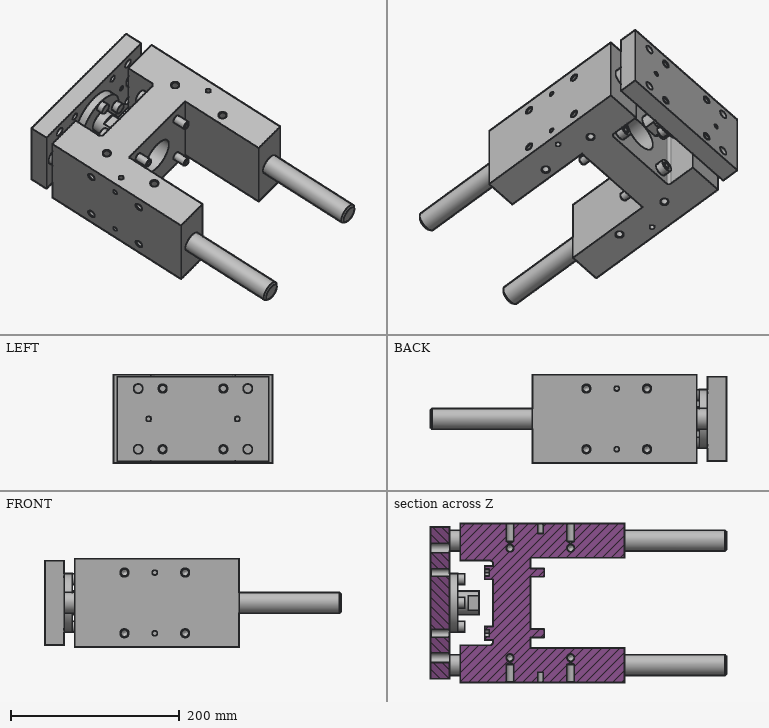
import cadquery as cq
import math


TOTAL_LENGTH = 351.0
ROD_DIAMETER = 25.0
ROD_Y = 73.7
BOLT_PITCH = 72.0
HALF_PITCH = BOLT_PITCH / 2
MOUNT_Y = 65.0

THREAD_DIAMETER = 10.2
CORE_DIAMETER = 8.5
DOWEL_DIAMETER = 6.0
DRILL_TIP_ANGLE = 118.0

HOUSING_FRONT = 35.0
HOUSING_LENGTH = 195.0
HOUSING_WIDTH = 189.0
HOUSING_HEIGHT = 105.0
WEB_FRONT = 74.0
WEB_BACK = 118.5
FRONT_GAP_WIDTH = 100.0
BACK_GAP_WIDTH = 106.7
FRONT_GAP_FILLET = 3.5
WEB_BORE_DIAMETER = 45.0
HOUSING_BACK = HOUSING_FRONT + HOUSING_LENGTH

MOUNT_CENTER_X = 130.2
MOUNT_DEPTH = 21.0
DOWEL_DEPTH = 12.0
DOWEL_Y = 83.0

WEB_SCREW_DIAMETER = 10.2
WEB_SCREW_END = 135.0
WEB_SCREW_CHAMFER = 1.0
WEB_HEAD_DIAMETER = 16.0
WEB_HEAD_HEIGHT = 10.0
WEB_SOCKET_FLATS = 8.0
WEB_SOCKET_DEPTH = 5.3
CORNER_UP = 90.0

PLATE_THICKNESS = 22.8
PLATE_WIDTH = 180.0
PLATE_HEIGHT = 100.0
PLATE_DOWEL_Y = 52.5
PLATE_BOLT_DIAMETER = 11.0
ROD_END_CHAMFER = 2.0

FLANGE_DIAMETER = 70.0
FLANGE_THICKNESS = 10.0
FLANGE_BACK = PLATE_THICKNESS + FLANGE_THICKNESS
FLANGE_HEAD_DIAMETER = 13.0
FLANGE_HEAD_HEIGHT = 8.0
FLANGE_BOLT_RADIUS = 28.0
STUD_DIAMETER = 28.5
STUD_END = 57.5
STUD_FLATS = 22.8
STUD_FLAT_LENGTH = 12.5


def x_cylinder(diameter, x_start, x_end, y=0, z=0):
    """Cylinder parallel to X."""
    plane = cq.Workplane("YZ", origin=(x_start, y, z))
    return plane.circle(diameter / 2).extrude(x_end - x_start)


def x_block(x_start, x_end, width, height):
    """Box centred on the X axis."""
    return cq.Workplane("YZ", origin=(x_start, 0, 0)).rect(width, height).extrude(x_end - x_start)


def drill(diameter, depth, point, direction):
    """Blind drill cutter with a conical tip."""
    radius = diameter / 2
    tip_length = radius / math.tan(math.radians(DRILL_TIP_ANGLE / 2))
    inward = cq.Vector(*direction)
    start = cq.Vector(*point)
    shank = cq.Solid.makeCylinder(radius, depth, start, inward)
    tip = cq.Solid.makeCone(radius, 0, tip_length, start + inward * depth, inward)
    return cq.Workplane(shank.fuse(tip))


def threaded_hole(depth, point, direction):
    """Drilled core with a 45 degree countersink as wide as the thread."""
    countersink_depth = (THREAD_DIAMETER - CORE_DIAMETER) / 2
    mouth = cq.Solid.makeCone(
        THREAD_DIAMETER / 2, CORE_DIAMETER / 2, countersink_depth, cq.Vector(*point), cq.Vector(*direction)
    )
    return drill(CORE_DIAMETER, depth, point, direction).union(cq.Workplane(mouth))


def dowel_hole(point, direction):
    """Flat-bottomed blind hole."""
    return cq.Workplane(
        cq.Solid.makeCylinder(DOWEL_DIAMETER / 2, DOWEL_DEPTH, cq.Vector(*point), cq.Vector(*direction))
    )


def housing_block():
    """H-shaped block: two legs joined by a web."""
    block = x_block(HOUSING_FRONT, HOUSING_BACK, HOUSING_WIDTH, HOUSING_HEIGHT)
    front_gap = x_block(HOUSING_FRONT, WEB_FRONT, FRONT_GAP_WIDTH, HOUSING_HEIGHT)
    front_gap = front_gap.edges("|Z and >X").fillet(FRONT_GAP_FILLET)
    back_gap = x_block(WEB_BACK, HOUSING_BACK, BACK_GAP_WIDTH, HOUSING_HEIGHT)
    return block.cut(front_gap).cut(back_gap)


def cut_mounting_holes(block):
    """Threaded and dowel holes in the top, bottom and both outer sides."""
    for side in (-1, 1):
        z_face = side * HOUSING_HEIGHT / 2
        y_face = side * HOUSING_WIDTH / 2
        into_z = (0, 0, -side)
        into_y = (0, -side, 0)
        for other in (-1, 1):
            for x in (MOUNT_CENTER_X - HALF_PITCH, MOUNT_CENTER_X + HALF_PITCH):
                block = block.cut(threaded_hole(MOUNT_DEPTH, (x, other * MOUNT_Y, z_face), into_z))
                block = block.cut(threaded_hole(MOUNT_DEPTH, (x, y_face, other * HALF_PITCH), into_y))
            block = block.cut(dowel_hole((MOUNT_CENTER_X, other * DOWEL_Y, z_face), into_z))
            block = block.cut(dowel_hole((MOUNT_CENTER_X, y_face, other * HALF_PITCH), into_y))
    return block


def web_screw(y, z):
    """Screw through the web, with the hexagon socket in its head turned corner-up."""
    head_front = WEB_FRONT - WEB_HEAD_HEIGHT
    shank = x_cylinder(WEB_SCREW_DIAMETER, WEB_FRONT, WEB_SCREW_END, y, z)
    shank = shank.faces(">X").chamfer(WEB_SCREW_CHAMFER)
    head = x_cylinder(WEB_HEAD_DIAMETER, head_front, WEB_FRONT, y, z)
    socket_corners = WEB_SOCKET_FLATS / math.cos(math.pi / 6)
    socket_plane = cq.Workplane("YZ", origin=(head_front, y, z)).transformed(rotate=(0, 0, CORNER_UP))
    socket = socket_plane.polygon(6, socket_corners).extrude(WEB_SOCKET_DEPTH)
    return shank.union(head).cut(socket)


def make_housing():
    """H-shaped block with rod bores, mounting holes and the web screws."""
    housing = cut_mounting_holes(housing_block())
    housing = housing.cut(x_cylinder(WEB_BORE_DIAMETER, WEB_FRONT, WEB_BACK))
    for y in (-ROD_Y, ROD_Y):
        housing = housing.cut(x_cylinder(ROD_DIAMETER, HOUSING_FRONT, HOUSING_BACK, y))
    for y in (-HALF_PITCH, HALF_PITCH):
        for z in (-HALF_PITCH, HALF_PITCH):
            housing = housing.union(web_screw(y, z))
    return housing


def front_plate():
    """Plate with dowel, bolt and threaded holes through its thickness."""
    plate = x_block(0, PLATE_THICKNESS, PLATE_WIDTH, PLATE_HEIGHT)
    for side in (-1, 1):
        plate = plate.cut(x_cylinder(DOWEL_DIAMETER, 0, PLATE_THICKNESS, side * PLATE_DOWEL_Y))
        for z in (-HALF_PITCH, HALF_PITCH):
            plate = plate.cut(x_cylinder(PLATE_BOLT_DIAMETER, 0, PLATE_THICKNESS, side * MOUNT_Y, z))
            plate = plate.cut(threaded_hole(PLATE_THICKNESS, (0, side * HALF_PITCH, z), (1, 0, 0)))
    return plate


def coupling():
    """Round flange with four screw heads and a stud with two wrench flats."""
    body = x_cylinder(FLANGE_DIAMETER, PLATE_THICKNESS, FLANGE_BACK)
    head_back = FLANGE_BACK + FLANGE_HEAD_HEIGHT
    for quarter in range(4):
        angle = quarter * math.pi / 2
        y = FLANGE_BOLT_RADIUS * math.cos(angle)
        z = FLANGE_BOLT_RADIUS * math.sin(angle)
        body = body.union(x_cylinder(FLANGE_HEAD_DIAMETER, FLANGE_BACK, head_back, y, z))
    stud = x_cylinder(STUD_DIAMETER, FLANGE_BACK, STUD_END)
    flats_start = STUD_END - STUD_FLAT_LENGTH
    kept_middle = x_block(flats_start, STUD_END, STUD_DIAMETER, STUD_FLATS)
    flat_cutter = x_block(flats_start, STUD_END, STUD_DIAMETER, STUD_DIAMETER).cut(kept_middle)
    stud = stud.cut(flat_cutter)
    return body.union(stud)


def make_carriage():
    """Front plate with its coupling and two guide rods."""
    carriage = front_plate().union(coupling())
    for y in (-ROD_Y, ROD_Y):
        rod = x_cylinder(ROD_DIAMETER, PLATE_THICKNESS, TOTAL_LENGTH, y)
        carriage = carriage.union(rod.faces(">X").chamfer(ROD_END_CHAMFER))
    return carriage


housing = make_housing()
carriage = make_carriage()
result = cq.Compound.makeCompound([housing.val(), carriage.val()])